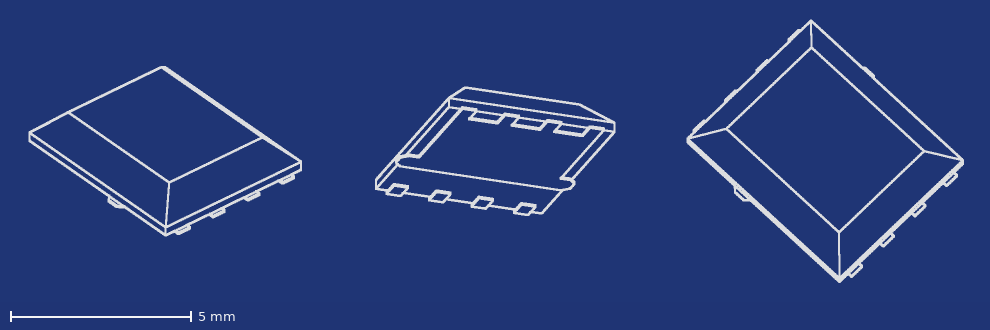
import cadquery as cq

overall_length = 6.15
overall_width = 5.15
overall_height = 1.09

body_length = 5.905
body_width = 4.895
slope_height = 0.76

metal_thickness = 0.05
lead_length = 0.6
lead_width = 0.42
lead_pitch = 1.255
leads_per_side = 4

pad_right = 1.18
tab_base_width = 0.74
tab_chamfer = 0.19


def make_body():
    body_height = overall_height - metal_thickness
    return (
        cq.Workplane("XY", origin=(0, 0, metal_thickness))
        .rect(body_length, body_width)
        .extrude(body_height)
        .faces(">Z")
        .chamfer(slope_height)
    )


def make_leads():
    lead_x = (overall_length - lead_length) / 2
    first_y = -lead_pitch * (leads_per_side - 1) / 2
    centres = [
        (side * lead_x, first_y + index * lead_pitch)
        for side in (-1, 1)
        for index in range(leads_per_side)
    ]
    return (
        cq.Workplane("XY")
        .pushPoints(centres)
        .rect(lead_length, lead_width)
        .extrude(metal_thickness)
    )


def make_pad():
    pad_edge_y = (lead_pitch * (leads_per_side - 1) + lead_width) / 2
    pad_left = lead_length - overall_length / 2
    tab_left = pad_right - tab_base_width
    tip_y = overall_width / 2
    shoulder_y = tip_y - tab_chamfer
    half_outline = [
        (pad_left, 0),
        (pad_left, pad_edge_y),
        (tab_left, pad_edge_y),
        (tab_left, shoulder_y),
        (tab_left + tab_chamfer, tip_y),
        (pad_right - tab_chamfer, tip_y),
        (pad_right, shoulder_y),
        (pad_right, 0),
    ]
    half_pad = cq.Workplane("XY").polyline(half_outline).close().extrude(metal_thickness)
    return half_pad.union(half_pad.mirror("XZ"))


result = make_body().union(make_leads()).union(make_pad()).clean()